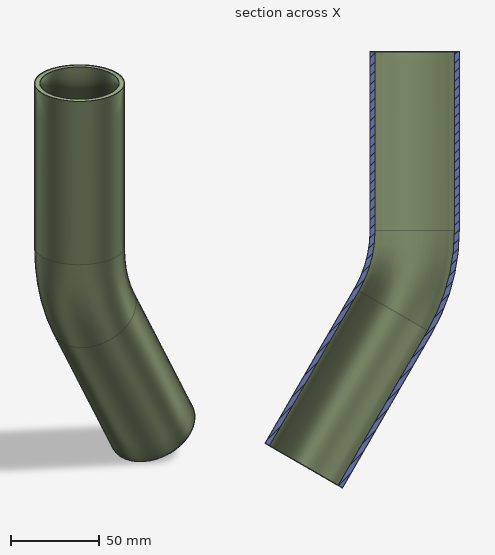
import cadquery as cq
import math

outer_diameter = 50.8
inner_diameter = 44.7
leg_length = 101.2
bend_radius = 90.5
bend_angle = 30.0


def bend_point(angle):
    """Centreline point (Y, Z) after turning by an angle in degrees from the vertical leg."""
    turn = math.radians(angle)
    return bend_radius * (1 - math.cos(turn)), -bend_radius * math.sin(turn)


bend_end = bend_point(bend_angle)
lean = math.radians(bend_angle)
lower_end = (
    bend_end[0] + leg_length * math.sin(lean),
    bend_end[1] - leg_length * math.cos(lean),
)
centreline = (
    cq.Workplane("YZ")
    .moveTo(0, leg_length)
    .lineTo(0, 0)
    .threePointArc(bend_point(bend_angle / 2), bend_end)
    .lineTo(*lower_end)
)

wall_section = (
    cq.Workplane("XY", origin=(0, 0, leg_length))
    .circle(outer_diameter / 2)
    .circle(inner_diameter / 2)
)
result = wall_section.sweep(centreline)